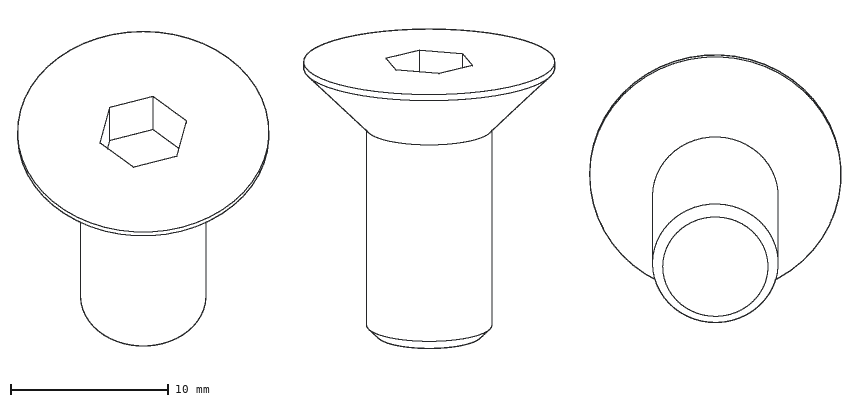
import cadquery as cq
import math

total_length = 18.0
head_diameter = 16.0
shank_diameter = 8.0
rim_height = 0.4
cone_angle = 90.0
tip_chamfer = 0.65
socket_across_flats = 5.0
socket_depth = 3.5

head_radius = head_diameter / 2
shank_radius = shank_diameter / 2
tip_radius = shank_radius - tip_chamfer
cone_height = (head_radius - shank_radius) / math.tan(math.radians(cone_angle / 2))
head_height = rim_height + cone_height


def screw_body():
    """Head, shank and chamfered tip revolved as one half profile about Z."""
    return (
        cq.Workplane("XZ")
        .moveTo(0, 0)
        .lineTo(head_radius, 0)
        .lineTo(head_radius, -rim_height)
        .lineTo(shank_radius, -head_height)
        .lineTo(shank_radius, -total_length + tip_chamfer)
        .lineTo(tip_radius, -total_length)
        .lineTo(0, -total_length)
        .close()
        .revolve(360, (0, 0), (0, 1))
    )


def hex_socket():
    """Hexagonal prism sunk from the head face, with two flats facing +X and -X."""
    across_corners = socket_across_flats / math.cos(math.pi / 6)
    return (
        cq.Workplane("XY")
        .transformed(rotate=(0, 0, 90))
        .polygon(6, across_corners)
        .extrude(-socket_depth)
    )


result = screw_body().cut(hex_socket())